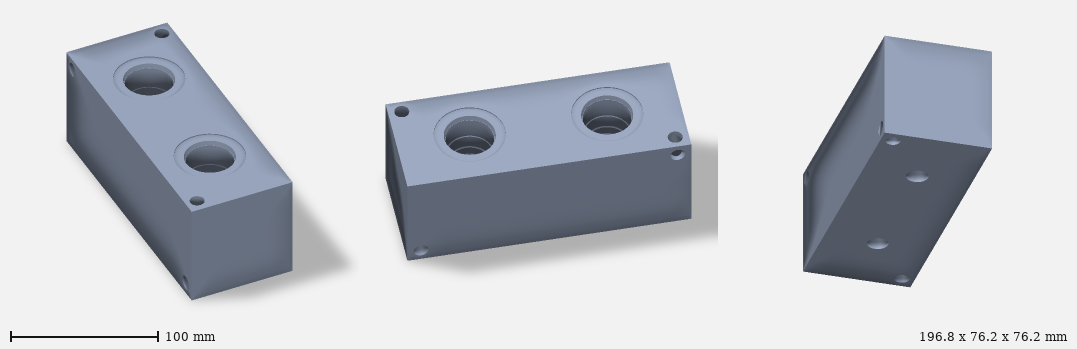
import cadquery as cq
import math

length = 196.8
width = 76.2
height = 76.2

mount_diameter = 10.2
mount_end_offset = 9.5
mount_edge_offset = 8.7

port_spacing = 95.3
spotface_diameter = 49.2
spotface_depth = 0.8
seat_top_diameter = 35.5
seat_bottom_diameter = 33.7
seat_half_angle = 15.0
thread_diameter = 33.3
thread_depth = 19.9
tap_diameter = 31.3
tap_depth = 29.5
bore_diameter = 28.5
bore_depth = 35.5
drill_point_half_angle = 59.0

left_passage_diameter = 14.8
right_passage_diameter = 15.5
right_cone_end_diameter = 16.3


def cone_length(large_diameter, small_diameter, half_angle):
    """Axial length of a cone narrowing between two diameters."""
    return (large_diameter - small_diameter) / 2 / math.tan(math.radians(half_angle))


def port_cutter(cone_end_diameter, passage_diameter):
    """Stepped port revolved about Z, with its mouth at Z = 0."""
    seat_depth = spotface_depth + cone_length(seat_top_diameter, seat_bottom_diameter, seat_half_angle)
    cone_depth = bore_depth + cone_length(bore_diameter, cone_end_diameter, drill_point_half_angle)
    steps = [
        (0, 0),
        (spotface_diameter, 0),
        (spotface_diameter, spotface_depth),
        (seat_top_diameter, spotface_depth),
        (seat_bottom_diameter, seat_depth),
        (thread_diameter, seat_depth),
        (thread_diameter, thread_depth),
        (tap_diameter, thread_depth),
        (tap_diameter, tap_depth),
        (bore_diameter, tap_depth),
        (bore_diameter, bore_depth),
        (cone_end_diameter, cone_depth),
    ]
    if cone_end_diameter > passage_diameter:
        steps.append((passage_diameter, cone_depth))
    steps.append((passage_diameter, height))
    steps.append((0, height))
    profile = [(diameter / 2, -depth) for diameter, depth in steps]
    return cq.Workplane("XZ").polyline(profile).close().revolve(360, (0, 0, 0), (0, 1, 0))


def mounting_cutter(plane, depth):
    """Diagonal pair of through holes along the normal of the plane."""
    centers = [
        (mount_end_offset, width - mount_edge_offset),
        (length - mount_end_offset, mount_edge_offset),
    ]
    return cq.Workplane(plane).pushPoints(centers).circle(mount_diameter / 2).extrude(depth)


block = cq.Workplane("XY").box(length, width, height, centered=False)

block = block.cut(mounting_cutter("XY", height))
block = block.cut(mounting_cutter("XZ", -width))

left_port = port_cutter(left_passage_diameter, left_passage_diameter)
right_port = port_cutter(right_cone_end_diameter, right_passage_diameter)
for port, side in ((left_port, -1), (right_port, 1)):
    port_x = length / 2 + side * port_spacing / 2
    block = block.cut(port.translate((port_x, width / 2, height)))

result = block